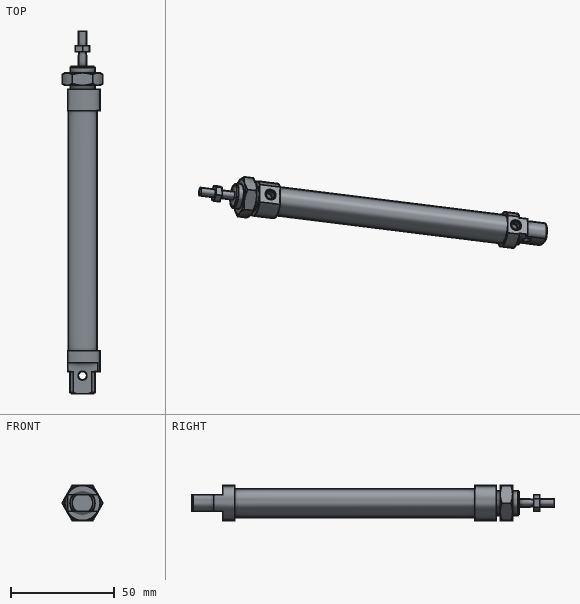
import cadquery as cq
import math

LENGTH = 175.0
TIP_Y = LENGTH / 2

ROD_DIAMETER = 4.0
ROD_RELIEF_DIAMETER = 3.3
ROD_RELIEF_START = 10.0
ROD_TAPER_END = 12.0

ROD_NUT_FLATS = 7.0
ROD_NUT_FRONT = 7.0
ROD_NUT_BACK = ROD_RELIEF_START

MOUNT_NUT_FLATS = 17.0
MOUNT_NUT_FRONT = 20.1
MOUNT_NUT_BACK = 26.0
MOUNT_NUT_FACE_DIAMETER = 17.0
NUT_CHAMFER_ANGLE = 30.0

COLLAR_FRONT = 17.0
COLLAR_DIAMETER = 12.0
COLLAR_TIP_DIAMETER = 10.7
CAP_DIAMETER = MOUNT_NUT_FLATS
CAP_FLAT_X = -7.2
FRONT_CAP_START = 28.0
FRONT_CAP_END = 38.3
TUBE_DIAMETER = 14.0
REAR_CAP_START = 154.2
REAR_CAP_ROUND_END = 160.1
REAR_CAP_END = 164.3
LUG_DIAMETER = COLLAR_DIAMETER
LUG_TIP_DIAMETER = 10.0
LUG_CHAMFER_LENGTH = 0.7
LUG_THICKNESS = 8.0
LUG_HOLE_DIAMETER = 4.0
LUG_HOLE_STATION = 166.2

PORT_STATIONS = (33.5, 158.4)
PORT_DIAMETER = 4.2
PORT_MOUTH_DIAMETER = 5.2
PORT_DEPTH = 4.0


def revolved(profile):
    """Solid of revolution about Y from (station, diameter) points."""
    points = [(diameter / 2, TIP_Y - station) for station, diameter in profile]
    start_y = points[0][1]
    end_y = points[-1][1]
    outline = cq.Workplane("XY").polyline([(0, start_y)] + points + [(0, end_y)]).close()
    return outline.revolve(360, (0, 0, 0), (0, 1, 0))


def cylinder(start, end, diameter):
    return revolved([(start, diameter), (end, diameter)])


def box(x_min, x_max, start, end, height):
    """Box between two stations, centred on Z = 0."""
    center = ((x_min + x_max) / 2, TIP_Y - (start + end) / 2, 0)
    return cq.Workplane("XY").box(x_max - x_min, end - start, height).translate(center)


def hex_prism(flats, start, end):
    """Hexagonal prism along Y with its corners on the X axis."""
    corners = flats / math.cos(math.pi / 6)
    plane = cq.Workplane("XZ", origin=(0, TIP_Y - start, 0))
    return plane.polygon(6, corners).extrude(end - start)


def make_rod():
    return revolved([
        (0, ROD_DIAMETER),
        (ROD_RELIEF_START, ROD_DIAMETER),
        (ROD_RELIEF_START, ROD_RELIEF_DIAMETER),
        (ROD_TAPER_END, ROD_DIAMETER),
        (FRONT_CAP_END, ROD_DIAMETER),
    ])


def make_rod_nut():
    hexagon = hex_prism(ROD_NUT_FLATS, ROD_NUT_FRONT, ROD_NUT_BACK)
    upright = hexagon.rotate((0, 0, 0), (0, 1, 0), 90)
    return upright.cut(cylinder(ROD_NUT_FRONT, ROD_NUT_BACK, ROD_DIAMETER))


def make_mount_nut():
    hexagon = hex_prism(MOUNT_NUT_FLATS, MOUNT_NUT_FRONT, MOUNT_NUT_BACK)
    corners = MOUNT_NUT_FLATS / math.cos(math.pi / 6)
    chamfer = (corners - MOUNT_NUT_FACE_DIAMETER) / 2 * math.tan(math.radians(NUT_CHAMFER_ANGLE))
    envelope = revolved([
        (MOUNT_NUT_FRONT, MOUNT_NUT_FACE_DIAMETER),
        (MOUNT_NUT_FRONT + chamfer, corners),
        (MOUNT_NUT_BACK - chamfer, corners),
        (MOUNT_NUT_BACK, MOUNT_NUT_FACE_DIAMETER),
    ])
    bore = cylinder(MOUNT_NUT_FRONT, MOUNT_NUT_BACK, COLLAR_DIAMETER)
    return hexagon.intersect(envelope).cut(bore)


def make_cap(start, end):
    """Round end cap with one flat on the -X side."""
    flat_side = box(CAP_FLAT_X, CAP_DIAMETER, start, end, CAP_DIAMETER)
    return cylinder(start, end, CAP_DIAMETER).intersect(flat_side)


def make_collar():
    chamfer = (COLLAR_DIAMETER - COLLAR_TIP_DIAMETER) / 2
    return revolved([
        (COLLAR_FRONT, COLLAR_TIP_DIAMETER),
        (COLLAR_FRONT + chamfer, COLLAR_DIAMETER),
        (FRONT_CAP_START, COLLAR_DIAMETER),
    ])


def make_rear_end():
    """Rear cap whose back part is thinned to the thickness of the lug."""
    lug = revolved([
        (REAR_CAP_END, LUG_DIAMETER),
        (LENGTH - LUG_CHAMFER_LENGTH, LUG_DIAMETER),
        (LENGTH, LUG_TIP_DIAMETER),
    ])
    slab = box(-CAP_DIAMETER, CAP_DIAMETER, REAR_CAP_ROUND_END, LENGTH, LUG_THICKNESS)
    thin_part = make_cap(REAR_CAP_ROUND_END, REAR_CAP_END).union(lug).intersect(slab)
    hole_plane = cq.Workplane("XY", origin=(0, TIP_Y - LUG_HOLE_STATION, 0))
    hole = hole_plane.circle(LUG_HOLE_DIAMETER / 2).extrude(LUG_THICKNESS, both=True)
    return make_cap(REAR_CAP_START, REAR_CAP_ROUND_END).union(thin_part).cut(hole)


def make_port(station):
    """Blind hole with a 45 degree countersink, entering from the cap flat."""
    countersink = (PORT_MOUTH_DIAMETER - PORT_DIAMETER) / 2
    y = TIP_Y - station
    profile = [
        (CAP_FLAT_X, y),
        (CAP_FLAT_X, y + PORT_MOUTH_DIAMETER / 2),
        (CAP_FLAT_X + countersink, y + PORT_DIAMETER / 2),
        (CAP_FLAT_X + PORT_DEPTH, y + PORT_DIAMETER / 2),
        (CAP_FLAT_X + PORT_DEPTH, y),
    ]
    return cq.Workplane("XY").polyline(profile).close().revolve(360, (0, y, 0), (1, y, 0))


def make_housing():
    housing = make_collar().union(make_cap(FRONT_CAP_START, FRONT_CAP_END))
    housing = housing.union(cylinder(FRONT_CAP_END, REAR_CAP_START, TUBE_DIAMETER))
    housing = housing.union(make_rear_end())
    for station in PORT_STATIONS:
        housing = housing.cut(make_port(station))
    return housing.cut(cylinder(COLLAR_FRONT, FRONT_CAP_END, ROD_DIAMETER))


rod = make_rod()
rod_nut = make_rod_nut()
mount_nut = make_mount_nut()
housing = make_housing()

result = cq.Compound.makeCompound([rod.val(), rod_nut.val(), mount_nut.val(), housing.val()])